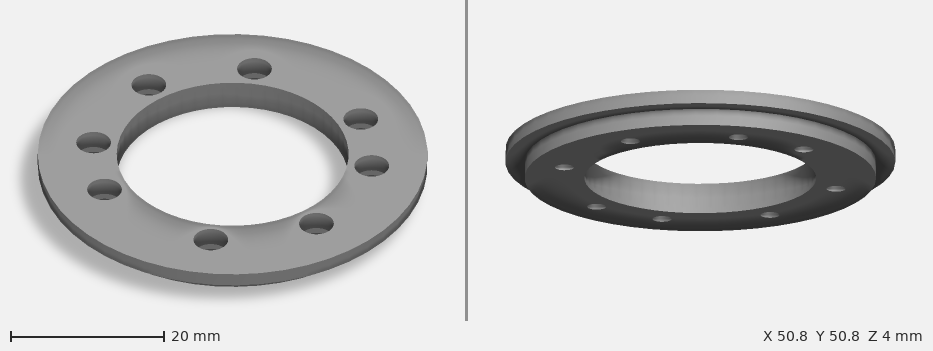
import cadquery as cq

flange_diameter = 50.8
spigot_diameter = 45.8
bore_diameter = 30.25
total_height = 4.0
flange_thickness = 1.85
spigot_height = total_height - flange_thickness

hole_circle_radius = 18.3
hole_diameter = 2.5
counterbore_diameter = 4.5
counterbore_depth = 2.5
side_hole_angle = 0.0
diagonal_hole_angle = 45.6
offset_hole_angle = 77.4

first_half_angles = [
    side_hole_angle,
    diagonal_hole_angle,
    offset_hole_angle,
    180.0 - diagonal_hole_angle,
]


def ring_body():
    """Spigot with a wider flange on top and a plain through bore."""
    spigot = cq.Workplane("XY").circle(spigot_diameter / 2).extrude(spigot_height)
    flange = (
        cq.Workplane("XY")
        .workplane(offset=spigot_height)
        .circle(flange_diameter / 2)
        .extrude(flange_thickness)
    )
    bore = cq.Workplane("XY").circle(bore_diameter / 2).extrude(total_height)
    return spigot.union(flange).cut(bore)


def screw_hole(angle):
    """Cutter for one hole counterbored from the top face, at an angle from +X."""
    through = cq.Workplane("XY").circle(hole_diameter / 2).extrude(total_height)
    counterbore = (
        cq.Workplane("XY")
        .workplane(offset=total_height - counterbore_depth)
        .circle(counterbore_diameter / 2)
        .extrude(counterbore_depth)
    )
    cutter = through.union(counterbore).translate((hole_circle_radius, 0, 0))
    return cutter.rotate((0, 0, 0), (0, 0, 1), angle)


result = ring_body()
for angle in first_half_angles:
    result = result.cut(screw_hole(angle))
    result = result.cut(screw_hole(angle + 180.0))